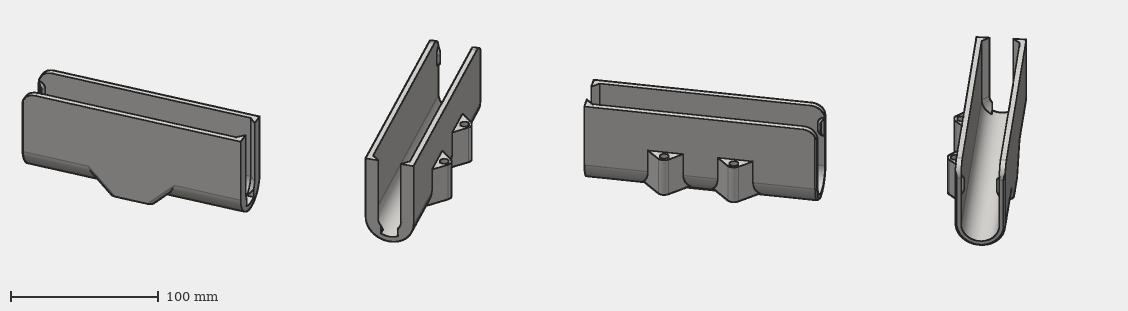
import cadquery as cq
import math

length = 160.0
width = 34.0
height = 64.0
wall = 4.0
outer_radius = width / 2
inner_radius = outer_radius - wall
corner_radius = 10.0
entry_chamfer = 1.1

lip_depth = 5.0
lip_gap = 12.0

bump_length = 15.0
bump_radius = 5.0
bump_height = 2.0
bump_ramp_start = 0.3
bump_center_z = height - 16
bump_taper = 45

keel_drop = 3.0
keel_bottom_width = 31.5
keel_thickness = 18.5
keel_edge_radius = 3.0

ear_reach = 10.0
ear_bottom = 6.0
ear_height = 28.0
ear_tip_radius = ear_reach / 2
ear_spacing = 48.0
hole_diameter = 6.0


def u_profile(x, radius, top):
    """Closed U outline in the YZ plane at the given X."""
    return (
        cq.Workplane("YZ", origin=(x, 0, outer_radius))
        .moveTo(-radius, top - outer_radius)
        .lineTo(-radius, 0)
        .threePointArc((0, -radius), (radius, 0))
        .lineTo(radius, top - outer_radius)
        .close()
    )


def tapered_u(x, radius, end_radius, depth):
    """U-shaped solid whose radius changes linearly along X."""
    profile = u_profile(x, radius, height).wires().val()
    end_profile = u_profile(x + depth, end_radius, height).wires().val()
    return cq.Workplane(cq.Solid.makeLoft([profile, end_profile], True))


def outer_body():
    """Solid U with the entry chamfer and its rounded upper corner."""
    entry = tapered_u(0, outer_radius - entry_chamfer, outer_radius, entry_chamfer)
    rest = u_profile(entry_chamfer, outer_radius, height).extrude(length - entry_chamfer)
    rounded_side = (
        cq.Workplane("XZ", origin=(0, width / 2, 0))
        .rect(length, height, centered=False)
        .extrude(width)
        .edges("<X and >Z")
        .fillet(corner_radius)
    )
    return entry.union(rest).intersect(rounded_side)


def keel():
    """Trapezoidal plate with 45 degree flanks, rounded along the flanks."""
    top_z = outer_radius
    half_bottom = keel_bottom_width / 2
    half_top = half_bottom + top_z + keel_drop
    middle = length / 2
    return (
        cq.Workplane("XZ", origin=(0, keel_thickness - width / 2, 0))
        .polyline([
            (middle - half_bottom, -keel_drop),
            (middle + half_bottom, -keel_drop),
            (middle + half_top, top_z),
            (middle - half_top, top_z),
        ])
        .close()
        .extrude(keel_thickness)
        .faces("<X or >X")
        .edges("<Y or >Y")
        .fillet(keel_edge_radius)
    )


def ear(x):
    """Triangular ear with 45 degree flanks tangent to its round tip."""
    tip_y = ear_reach - ear_tip_radius
    tangent = ear_tip_radius * math.sqrt(0.5)
    root_y = -outer_radius
    half_root = tip_y + ear_tip_radius * math.sqrt(2) - root_y
    plate = (
        cq.Workplane("XY", origin=(x, width / 2, ear_bottom))
        .moveTo(-half_root, root_y)
        .lineTo(-tangent, tip_y + tangent)
        .threePointArc((0, ear_reach), (tangent, tip_y + tangent))
        .lineTo(half_root, root_y)
        .close()
        .extrude(ear_height)
    )
    hole = (
        cq.Workplane("XY", origin=(x, width / 2 + tip_y, ear_bottom))
        .circle(hole_diameter / 2)
        .extrude(ear_height)
    )
    return plate.cut(hole)


def cavity():
    """Inside of the trough, tapering at the lip and slotted through its floor."""
    straight = u_profile(0, inner_radius, height).extrude(length - lip_depth)
    throat = tapered_u(length - lip_depth, inner_radius, inner_radius - lip_depth, lip_depth)
    slot = u_profile(0, inner_radius, height).extrude(length).intersect(
        cq.Workplane("XY").box(length, lip_gap, height, centered=(False, True, False))
    )
    return straight.union(throat).union(slot)


def bump():
    """Tapered oblong bump on the +Y wall, with a 45 degree lead-in ramp facing -X."""
    oblong = (
        cq.Workplane("XZ", origin=(0, inner_radius, bump_center_z))
        .slot2D(bump_length, 2 * bump_radius, 90)
        .extrude(bump_height, taper=bump_taper)
    )
    ramp_limit = (
        cq.Workplane("XY", origin=(0, inner_radius, bump_center_z - bump_length / 2))
        .polyline([
            (bump_ramp_start, 0),
            (bump_ramp_start + bump_height, -bump_height),
            (bump_radius, -bump_height),
            (bump_radius, 0),
        ])
        .close()
        .extrude(bump_length)
    )
    return oblong.intersect(ramp_limit)


result = outer_body().union(keel())
for side in (-1, 1):
    result = result.union(ear(length / 2 + side * ear_spacing / 2))
result = result.cut(cavity())
result = result.union(bump()).union(bump().mirror("XZ"))